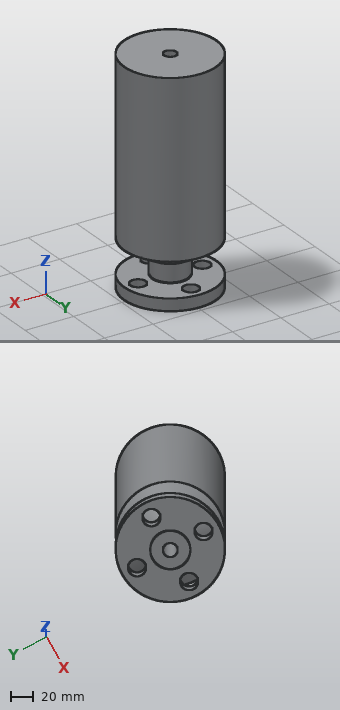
import cadquery as cq
import math

total_height = 228.5
body_diameter = 95.3
bore_diameter = 12.8

flange_diameter = body_diameter
flange_top = 14.2
raised_face_diameter = 35.0
raised_face_height = 1.5

bolt_circle_diameter = 66.5
bolt_hole_diameter = 15.8
bolt_hole_count = 4

neck_diameter = 38.2
neck_top = 33.4
foot_inset = 1.0
foot_height = 0.7
foot_flare_height = 0.7

cone_angle = 30
cone_rise = (body_diameter - neck_diameter) / 2 * math.tan(math.radians(cone_angle))
body_bottom = neck_top + cone_rise


def make_turned_body():
    """Revolve the half profile of the whole part around Z."""
    body_radius = body_diameter / 2
    flange_radius = flange_diameter / 2
    neck_radius = neck_diameter / 2
    foot_radius = neck_radius - foot_inset
    foot_top = flange_top + foot_height
    face_radius = raised_face_diameter / 2
    profile = [
        (0, 0),
        (face_radius, 0),
        (face_radius, raised_face_height),
        (flange_radius, raised_face_height),
        (flange_radius, flange_top),
        (foot_radius, flange_top),
        (foot_radius, foot_top),
        (neck_radius, foot_top + foot_flare_height),
        (neck_radius, neck_top),
        (body_radius, body_bottom),
        (body_radius, total_height),
        (0, total_height),
    ]
    return cq.Workplane("XZ").polyline(profile).close().revolve(360, (0, 0), (0, 1))


def make_bore():
    """Central bore through the full height."""
    return cq.Workplane("XY").circle(bore_diameter / 2).extrude(total_height)


def make_bolt_holes():
    """Ring of cylinders that pass through the flange only."""
    return (
        cq.Workplane("XY")
        .polarArray(bolt_circle_diameter / 2, 0, 360, bolt_hole_count)
        .circle(bolt_hole_diameter / 2)
        .extrude(flange_top)
    )


result = make_turned_body().cut(make_bore()).cut(make_bolt_holes())